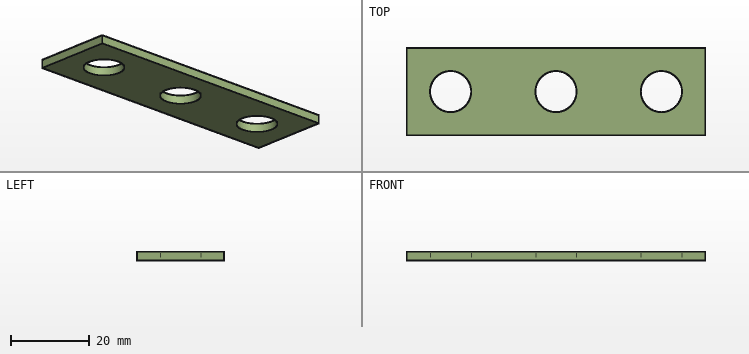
import cadquery as cq

length = 76.2
width = 22.3
thickness = 2.3

hole_diameter = 10.45
hole_count = 3
hole_pitch = 26.9

plate = cq.Workplane("XY").box(length, width, thickness)

result = (
    plate.faces(">Z")
    .workplane()
    .rarray(hole_pitch, 0.8, hole_count, 1)
    .hole(hole_diameter)
)